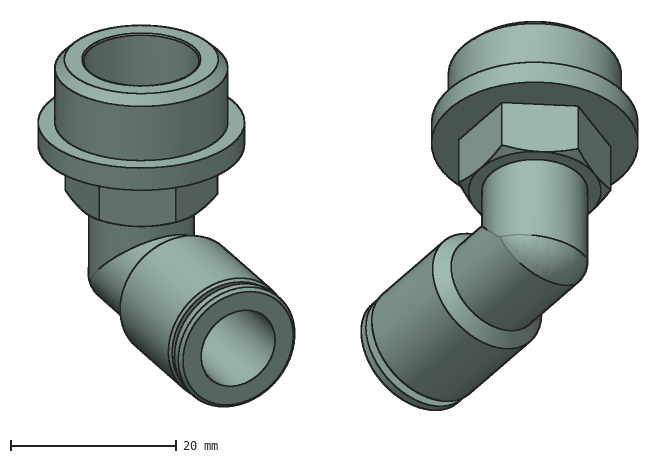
import cadquery as cq
import math


tube_radius = 6.4
bore_radius = 4.0
bend_pivot = 1.5
bend_angle = 60.0
bend_tilt = (90.0 - bend_angle) / 2

total_height = 35.5
outlet_radius = 8.0
inlet_top = total_height - outlet_radius
thread_radius = 10.47
thread_length = 8.47
thread_chamfer = 1.15
flange_radius = 12.495
flange_thickness = 3.0
flange_top = inlet_top - thread_length
flange_bottom = flange_top - flange_thickness
inlet_bore_radius = 6.988
inlet_bore_chamfer = 0.2

hex_height = 7.12
hex_bottom = flange_bottom - hex_height
hex_flat_radius = outlet_radius
hex_corner_radius = hex_flat_radius / math.cos(math.radians(30))
hex_chamfer_angle = 30.0

total_length = 38.5
outlet_end = total_length - flange_radius
body_start = 8.55
body_end = 23.5
body_chamfer = 0.35
neck_radius = 5.41
neck_flare = 0.2
collar_radius = 7.9
collar_thickness = 1.45
collar_chamfer = 0.42
collar_start = outlet_end - collar_thickness
hose_radius = 5.0


def revolve_about_z(profile):
    """Revolve a closed list of (radius, z) points about the Z axis."""
    return cq.Workplane("XZ").polyline(profile).close().revolve(360, (0, 0), (0, 1))


def revolve_about_x(profile):
    """Revolve a closed list of (x, radius) points about the X axis."""
    return cq.Workplane("XZ").polyline(profile).close().revolve(360, (0, 0), (1, 0))


def make_prism(outline):
    """Extrude an XZ outline across the full width of the tubes."""
    return cq.Workplane("XZ").polyline(outline).close().extrude(2 * tube_radius, both=True)


def make_elbow():
    """Two mitred tubes whose outer corner is a swept tube section."""
    pivot = (-bend_pivot, -bend_pivot)
    reach = 2 * tube_radius
    drop = reach * math.tan(math.radians(bend_tilt))
    stem_side = (pivot[0] - reach, pivot[1] - drop)
    outlet_side = (pivot[0] - drop, pivot[1] - reach)

    stem = cq.Workplane("XY").workplane(offset=-reach).circle(tube_radius).extrude(reach + hex_bottom)
    stem = stem.intersect(
        make_prism([pivot, stem_side, (stem_side[0], hex_bottom), (hex_bottom, hex_bottom)])
    )
    outlet = cq.Workplane("YZ").workplane(offset=-reach).circle(tube_radius).extrude(reach + body_start)
    far = max(hex_bottom, body_start)
    outlet = outlet.intersect(
        make_prism([pivot, outlet_side, (far, outlet_side[1]), (far, far)])
    )

    tilt = math.radians(bend_tilt)
    section_plane = cq.Plane(
        origin=(pivot[0], 0, pivot[1]),
        xDir=(-math.cos(tilt), 0, -math.sin(tilt)),
        normal=(-math.sin(tilt), 0, math.cos(tilt)),
    )
    section_center = -bend_pivot / math.cos(tilt)
    section_radius = tube_radius / math.cos(tilt)
    start_angle = math.degrees(math.acos(bend_pivot / tube_radius))
    bend = (
        cq.Workplane(section_plane)
        .center(section_center, 0)
        .ellipseArc(section_radius, tube_radius, -start_angle, start_angle, startAtCurrent=False)
        .close()
        .revolve(bend_angle, (-section_center, 0), (-section_center, 1))
    )
    return stem.union(outlet).union(bend)


def make_inlet():
    """Chamfered thread cylinder above a round flange."""
    return revolve_about_z([
        (0, flange_bottom),
        (flange_radius, flange_bottom),
        (flange_radius, flange_top),
        (thread_radius, flange_top),
        (thread_radius, inlet_top - thread_chamfer),
        (thread_radius - thread_chamfer, inlet_top),
        (0, inlet_top),
    ])


def make_hexagon():
    """Hexagon with its lower corners cut by a cone."""
    corner_rise = (hex_corner_radius - hex_flat_radius) * math.tan(math.radians(hex_chamfer_angle))
    prism = (
        cq.Workplane("XY").workplane(offset=hex_bottom)
        .polygon(6, 2 * hex_corner_radius).extrude(hex_height)
    )
    envelope = revolve_about_z([
        (0, hex_bottom),
        (hex_flat_radius, hex_bottom),
        (hex_corner_radius, hex_bottom + corner_rise),
        (hex_corner_radius, flange_bottom),
        (0, flange_bottom),
    ])
    return prism.intersect(envelope)


def make_outlet():
    """Push-in body, neck and release collar."""
    cone_end = body_start + outlet_radius - tube_radius
    return revolve_about_x([
        (body_start, 0),
        (body_start, tube_radius),
        (cone_end, outlet_radius),
        (body_end - body_chamfer, outlet_radius),
        (body_end, outlet_radius - body_chamfer),
        (body_end, neck_radius),
        (collar_start - neck_flare, neck_radius),
        (collar_start, neck_radius + neck_flare),
        (collar_start, collar_radius),
        (outlet_end - collar_chamfer, collar_radius),
        (outlet_end, collar_radius - collar_chamfer),
        (outlet_end, 0),
    ])


def make_passage():
    """Stepped inlet bore, ball-cornered elbow bore and hose socket."""
    funnel_bottom = flange_bottom - (inlet_bore_radius - bore_radius)
    inlet_bore = revolve_about_z([
        (0, 0),
        (bore_radius, 0),
        (bore_radius, funnel_bottom),
        (inlet_bore_radius, flange_bottom),
        (inlet_bore_radius, inlet_top - inlet_bore_chamfer),
        (inlet_bore_radius + inlet_bore_chamfer, inlet_top),
        (0, inlet_top),
    ])
    socket_bottom = body_start + outlet_radius - tube_radius
    outlet_bore = revolve_about_x([
        (0, 0),
        (0, bore_radius),
        (socket_bottom, bore_radius),
        (socket_bottom, hose_radius),
        (outlet_end, hose_radius),
        (outlet_end, 0),
    ])
    corner = cq.Workplane("XY").sphere(bore_radius)
    return inlet_bore.union(outlet_bore).union(corner)


outside = make_elbow().union(make_hexagon()).union(make_inlet()).union(make_outlet())
result = outside.cut(make_passage())